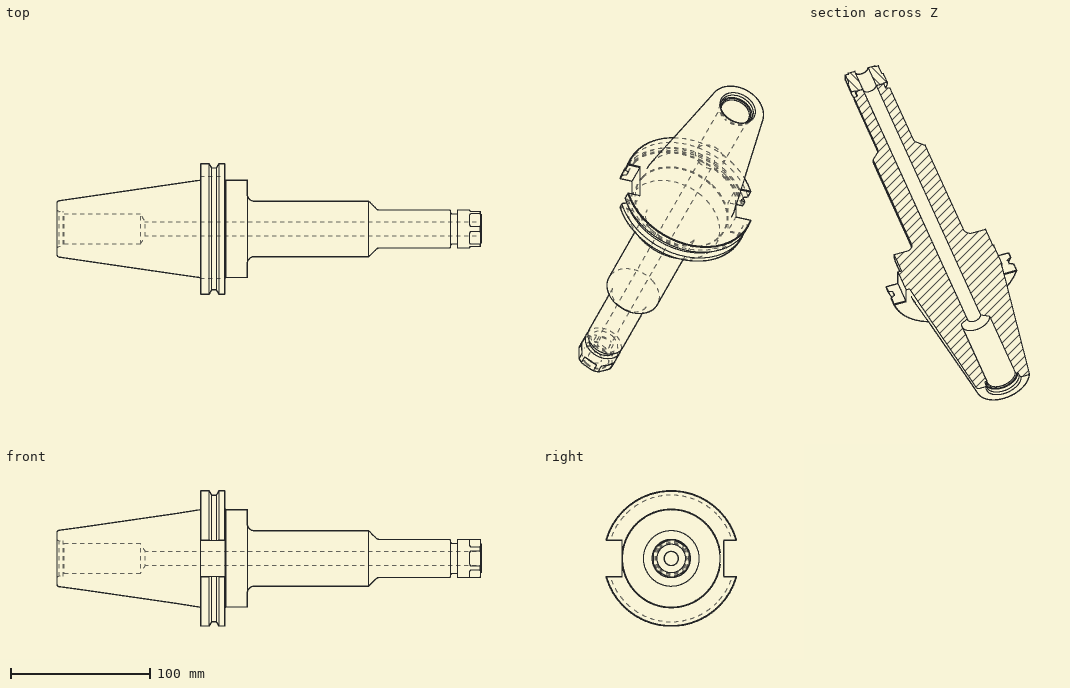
import cadquery as cq
import math


gauge_dia = 69.85
taper_length = 101.75
taper_ratio = 7 / 24
taper_end_dia = gauge_dia - taper_length * taper_ratio
taper_end_fillet = 2.0

pilot_dia = 25.0
pilot_depth = 4.5
pilot_mouth_dia = 27.0
pilot_mouth_depth = 1.7
drawbar_bore_dia = 21.5
drawbar_seat_chamfer = 0.75
drawbar_bore_depth = 60.0
drill_half_angle = math.radians(59)
through_dia = 10.0

flange_dia = 97.5
flange_start = taper_length + 1.25
flange_end = taper_length + 19.1
flange_root_fillet = 0.5
flange_edge_chamfer = 0.5
groove_center = taper_length + 11.1
groove_root_dia = 91.25
groove_root_width = 3.4
groove_half_angle = math.radians(30)
collar_dia = 70.0
collar_end = taper_length + 35.0

drive_slot_width = 25.7
drive_slot_floor_front = 35.5
drive_slot_floor_back = 37.7

shank_dia = 40.0
shank_root_fillet = 5.0
shank_cone_start = 223.9
nose_dia = 27.5
shank_cone_end = shank_cone_start + (shank_dia - nose_dia) / 2
nose_cone_fillet = 2.5
nose_end = 282.7
nose_end_fillet = 1.0
neck_dia = 21.8

overall_length = 304.97
nut_dia = nose_dia
nut_start = 287.6
nut_bore_dia = through_dia
nut_flat_count = 6
nut_across_flats = 25.4
nut_flats_start = 296.2
nut_flat_fillet = 1.0
nut_rim_dia = 20.5
nut_rim_height = 0.8
nut_front_chamfer = 0.4

tolerance = 0.01


def holder_profile():
    """Half section of the holder's outside, from the axis outwards."""
    groove_depth = (flange_dia - groove_root_dia) / 2
    groove_root_half = groove_root_width / 2
    groove_top_half = groove_root_half + groove_depth * math.tan(groove_half_angle)
    return (
        cq.Workplane("XY")
        .moveTo(0, 0)
        .lineTo(0, taper_end_dia / 2)
        .lineTo(taper_length, gauge_dia / 2)
        .lineTo(flange_start, gauge_dia / 2)
        .lineTo(flange_start, flange_dia / 2)
        .lineTo(groove_center - groove_top_half, flange_dia / 2)
        .lineTo(groove_center - groove_root_half, groove_root_dia / 2)
        .lineTo(groove_center + groove_root_half, groove_root_dia / 2)
        .lineTo(groove_center + groove_top_half, flange_dia / 2)
        .lineTo(flange_end, flange_dia / 2)
        .lineTo(flange_end, collar_dia / 2)
        .lineTo(collar_end, collar_dia / 2)
        .lineTo(collar_end, shank_dia / 2)
        .lineTo(shank_cone_start, shank_dia / 2)
        .lineTo(shank_cone_end, nose_dia / 2)
        .lineTo(nose_end, nose_dia / 2)
        .lineTo(nose_end, neck_dia / 2)
        .lineTo(nut_start, neck_dia / 2)
        .lineTo(nut_start, 0)
        .close()
    )


def turn(profile):
    """Revolve a half section about the X axis."""
    return profile.revolve(360, (0, 0, 0), (1, 0, 0))


def circle_edges(body, x, dia):
    """The round edge of a turned body at one place along X."""
    r_out = dia / 2 + tolerance
    r_in = dia / 2 - tolerance
    x_low = x - tolerance
    x_high = x + tolerance
    within = cq.selectors.BoxSelector((x_low, -r_out, -r_out), (x_high, r_out, r_out), boundingbox=True)
    smaller = cq.selectors.BoxSelector((x_low, -r_in, -r_in), (x_high, r_in, r_in), boundingbox=True)
    return body.edges("%CIRCLE").edges(within - smaller)


def drawbar_bore():
    """Stepped bore for the pull stud, ending in a drill point and a through hole."""
    drill_point = (drawbar_bore_dia - through_dia) / 2 / math.tan(drill_half_angle)
    return turn(
        cq.Workplane("XY")
        .moveTo(0, 0)
        .lineTo(0, pilot_mouth_dia / 2)
        .lineTo(pilot_mouth_depth, pilot_dia / 2)
        .lineTo(pilot_depth, pilot_dia / 2)
        .lineTo(pilot_depth, drawbar_bore_dia / 2 + drawbar_seat_chamfer)
        .lineTo(pilot_depth + drawbar_seat_chamfer, drawbar_bore_dia / 2)
        .lineTo(drawbar_bore_depth, drawbar_bore_dia / 2)
        .lineTo(drawbar_bore_depth + drill_point, through_dia / 2)
        .lineTo(nut_start, through_dia / 2)
        .lineTo(nut_start, 0)
        .close()
    )


def drive_slot(side, floor):
    """Cutter for the drive slot on one side (-1 or +1 along Y), down to its floor."""
    depth = flange_dia
    return (
        cq.Workplane("XY")
        .box(flange_end - flange_start, depth, drive_slot_width)
        .translate(((flange_start + flange_end) / 2, side * (floor + depth / 2), 0))
    )


def chamfer_flange_edges(body):
    """Break the outer rims, the slot walls' face edges and the slot corners on the flange lands."""
    wall = drive_slot_width / 2
    sharp_edges = []
    for edge in body.edges().vals():
        middle = edge.positionAt(0.5)
        on_face = min(abs(middle.x - flange_start), abs(middle.x - flange_end)) < tolerance
        on_wall = abs(abs(middle.z) - wall) < tolerance
        on_rim = abs(math.hypot(middle.y, middle.z) - flange_dia / 2) < tolerance
        if (on_face and (on_wall or on_rim)) or (on_wall and on_rim):
            sharp_edges.append(edge)
    return body.newObject(sharp_edges).chamfer(flange_edge_chamfer)


def make_holder():
    body = turn(holder_profile())
    body = circle_edges(body, 0, taper_end_dia).fillet(taper_end_fillet)
    body = circle_edges(body, flange_start, gauge_dia).fillet(flange_root_fillet)
    body = circle_edges(body, flange_end, collar_dia).fillet(flange_root_fillet)
    body = circle_edges(body, collar_end, shank_dia).fillet(shank_root_fillet)
    body = circle_edges(body, shank_cone_end, nose_dia).fillet(nose_cone_fillet)
    body = circle_edges(body, nose_end, nose_dia).fillet(nose_end_fillet)
    body = circle_edges(body, nose_end, neck_dia).fillet(nose_end_fillet)
    body = body.cut(drawbar_bore())
    body = body.cut(drive_slot(-1, drive_slot_floor_front))
    body = body.cut(drive_slot(1, drive_slot_floor_back))
    return chamfer_flange_edges(body)


def nut_flat(angle):
    """Cutter for one wrench flat, rounded where it meets the nut's full diameter."""
    length = overall_length - nut_flats_start
    return (
        cq.Workplane("XY")
        .box(length, nut_dia, nut_dia, centered=(False, True, False))
        .edges("<X and <Z")
        .fillet(nut_flat_fillet)
        .translate((nut_flats_start, 0, nut_across_flats / 2))
        .rotate((0, 0, 0), (1, 0, 0), angle)
    )


def make_nut():
    face = overall_length - nut_rim_height
    body = turn(
        cq.Workplane("XY")
        .moveTo(nut_start, nut_bore_dia / 2)
        .lineTo(nut_start, nut_dia / 2)
        .lineTo(face - nut_front_chamfer, nut_dia / 2)
        .lineTo(face, nut_dia / 2 - nut_front_chamfer)
        .lineTo(face, nut_rim_dia / 2)
        .lineTo(overall_length, nut_rim_dia / 2)
        .lineTo(overall_length, nut_bore_dia / 2)
        .close()
    )
    step = 360 / nut_flat_count
    for i in range(nut_flat_count):
        body = body.cut(nut_flat((i + 0.5) * step))
    return body


holder = make_holder()
nut = make_nut()
result = cq.Compound.makeCompound([holder.val(), nut.val()])